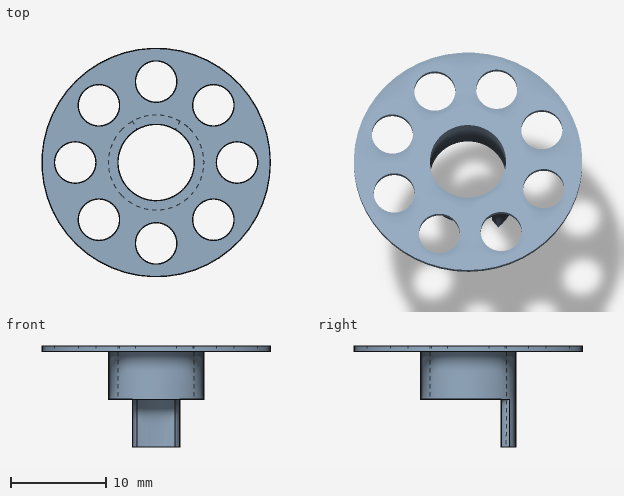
import cadquery as cq
import math

total_height = 10.6
disc_diameter = 24.0
disc_thickness = 0.6
hub_diameter = 10.0
bore_diameter = 8.0
hole_diameter = 4.32
hole_circle_radius = 8.5
hole_count = 8
tab_angle = 60.0

disc_bottom = total_height - disc_thickness
tab_height = disc_bottom / 2


def make_disc():
    """Thin disc with a ring of round through holes."""
    disc = (
        cq.Workplane("XY")
        .workplane(offset=disc_bottom)
        .circle(disc_diameter / 2)
        .extrude(disc_thickness)
    )
    return (
        disc.faces(">Z").workplane()
        .polarArray(hole_circle_radius, 0, 360, hole_count)
        .hole(hole_diameter)
    )


def make_tab_cutter():
    """Block around the lower half of the hub, with an open wedge on the +Y side that spares the tab."""
    reach = hub_diameter
    wedge_half_width = reach * math.tan(math.radians(tab_angle / 2))
    return (
        cq.Workplane("XY")
        .lineTo(wedge_half_width, reach)
        .lineTo(reach, reach)
        .lineTo(reach, -reach)
        .lineTo(-reach, -reach)
        .lineTo(-reach, reach)
        .lineTo(-wedge_half_width, reach)
        .close()
        .extrude(tab_height)
    )


def make_hub_with_tab():
    """Cylinder below the disc, its lower half trimmed to the tab's sector."""
    cylinder = cq.Workplane("XY").circle(hub_diameter / 2).extrude(disc_bottom)
    return cylinder.cut(make_tab_cutter())


bore = cq.Workplane("XY").circle(bore_diameter / 2).extrude(total_height)

result = make_disc().union(make_hub_with_tab()).cut(bore)